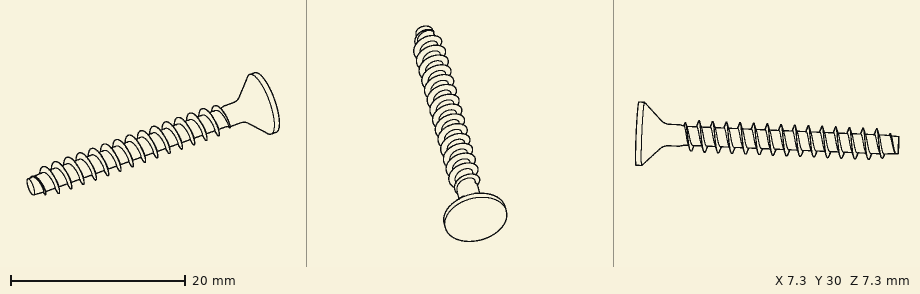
import cadquery as cq
import math


length = 30.0
head_diameter = 7.3
rim_height = 0.65
cone_half_angle = 45.0
neck_fillet_radius = 1.4

shank_diameter = 2.5
shank_end = 4.83
core_diameter = 2.2
core_start = 5.45
tip_diameter = 1.98
tip_taper_length = 1.65

thread_diameter = 3.6
thread_start = 4.47
full_thread_end = 27.63
run_in_turns = 1.25
full_turns = 13.5
run_out_turns = 1.4
pitch = (full_thread_end - thread_start) / (run_in_turns + full_turns)
crest_width = 0.03
root_width = 0.6
thread_root_radius = 0.9
run_in_radius = 1.2
run_out_radius = 0.95
faded_root_width = 0.1
start_angle = 180.0


def screw_body():
    """Head, filleted neck, shank, core and tapered tip as one turned solid."""
    head_radius = head_diameter / 2
    shank_radius = shank_diameter / 2
    core_radius = core_diameter / 2

    half_angle = math.radians(cone_half_angle)
    cone_end_radius = shank_radius + neck_fillet_radius * (1 - math.cos(half_angle))
    cone_end = rim_height + head_radius - cone_end_radius
    fillet_end = cone_end + neck_fillet_radius * math.sin(half_angle)
    fillet_mid = (
        shank_radius + neck_fillet_radius * (1 - math.cos(half_angle / 2)),
        fillet_end - neck_fillet_radius * math.sin(half_angle / 2),
    )

    outline = (
        cq.Workplane("XZ")
        .lineTo(head_radius, 0)
        .lineTo(head_radius, rim_height)
        .lineTo(cone_end_radius, cone_end)
        .threePointArc(fillet_mid, (shank_radius, fillet_end))
        .lineTo(shank_radius, shank_end)
        .lineTo(core_radius, core_start)
        .lineTo(core_radius, length - tip_taper_length)
        .lineTo(tip_diameter / 2, length)
        .lineTo(0, length)
        .close()
    )
    return outline.revolve(360, (0, 0), (0, 1)).val()


def thread_section(crest_radius, root):
    """Corners (radius, axial offset) of a trapezoidal thread section."""
    return [
        (thread_root_radius, -root / 2),
        (crest_radius, -crest_width / 2),
        (crest_radius, crest_width / 2),
        (thread_root_radius, root / 2),
    ]


def helix_between(first, last, turns):
    """Helix from one section corner to the matching corner some turns later."""
    growth = last[0] - first[0]
    rise = turns * pitch + last[1] - first[1]
    if growth == 0:
        helix = cq.Wire.makeHelix(rise / turns, rise, first[0])
    else:
        slant = math.hypot(rise, growth)
        flare = math.degrees(math.atan2(growth, rise))
        helix = cq.Wire.makeHelix(slant / turns, slant, first[0], angle=flare)
    return helix.translate(cq.Vector(0, 0, first[1]))


def thread_piece(first_section, last_section, turns, turns_before):
    """Solid thread whose section changes evenly from first to last."""
    helices = []
    for first, last in zip(first_section, last_section):
        helices.append(helix_between(first, last, turns))

    faces = []
    for index, helix in enumerate(helices):
        faces.append(cq.Face.makeRuledSurface(helices[index - 1], helix))
    for at_end in (0, 1):
        corners = [helix.positionAt(at_end) for helix in helices]
        faces.append(cq.Face.makeFromWires(cq.Wire.makePolygon(corners, close=True)))

    piece = cq.Solid.makeSolid(cq.Shell.makeShell(faces))
    turned = start_angle + 360 * turns_before
    piece = piece.rotate(cq.Vector(0, 0, 0), cq.Vector(0, 0, 1), turned)
    return piece.translate(cq.Vector(0, 0, thread_start + turns_before * pitch))


run_in_section = thread_section(run_in_radius, faded_root_width)
full_section = thread_section(thread_diameter / 2, root_width)
run_out_section = thread_section(run_out_radius, faded_root_width)

run_in = thread_piece(run_in_section, full_section, run_in_turns, 0)
full_thread = thread_piece(full_section, full_section, full_turns, run_in_turns)
run_out = thread_piece(full_section, run_out_section, run_out_turns, run_in_turns + full_turns)

screw = screw_body().fuse(run_in, full_thread, run_out)
result = cq.Workplane(screw).rotate((0, 0, 0), (1, 0, 0), 90)